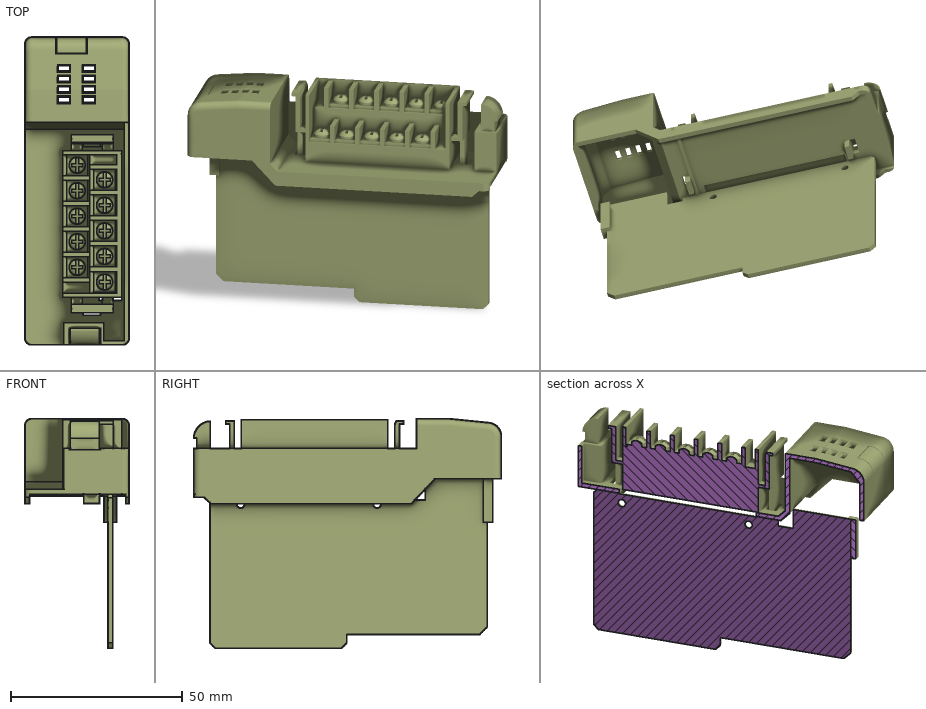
import cadquery as cq
import math


WIDTH = 30.5
LENGTH = 90.0
HEIGHT = 67.1
WALL = 1.4
SKIRT_RIGHT = 1.1
CORNER_RADIUS = 2.1

HEAD_FRONT = 65.2
HEAD_TOP = 20.6
HEAD_BOTTOM = 3.0
HEAD_SLOPE_START = 74.7
HEAD_REAR_TOP = 19.1
HEAD_REAR_RADIUS = 4.1
BEVEL = 2.2

SKIRT_BOTTOM = -4.3
SKIRT_REAR_SLOPE_TOP = 70.6
SKIRT_REAR_SLOPE_END = 63.6
SKIRT_FRONT_SLOPE_END = 5.1
SKIRT_FRONT_SLOPE_TOP = 3.1
LIP_BOTTOM = -2.4

SIDE_WALL = 1.4
FRONT_WALL = 1.2
RAISED_TOP = 11.9

RIB_DEPTH = 0.6
RIB_LENGTH = 0.9

LID_LEFT = 9.0
LID_WIDTH = 9.2
LID_FRONT = 85.05
LID_GROOVE = 0.3

WINDOW_COLUMNS = (11.4, 18.7)
WINDOW_ROWS = 4
WINDOW_REAR = 80.8
WINDOW_PITCH = 3.1
WINDOW_WIDTH = 3.8
WINDOW_LENGTH = 2.3
WINDOW_HOLE_WIDTH = 3.3
WINDOW_HOLE_LENGTH = 1.4
WINDOW_DEPTH = 0.7

BOX_LEFT = 11.4
BOX_WIDTH = 11.7
BOX_LENGTH = 6.6
LATCH_LEFT = 13.3
LATCH_WIDTH = 8.5
LATCH_BACK = 4.95
LATCH_SHANK_FRONT = 0.9
LATCH_NOSE_BOTTOM = 14.9
LATCH_TOP = 19.8
LATCH_ARC_START = 4.05
LATCH_ARC_MIDDLE = (1.5, 18.4)
LATCH_GAP = 0.4

BLOCK_LEFT = 11.2
BLOCK_WIDTH = 17.1
BLOCK_FRONT = 13.95
BLOCK_LENGTH = 42.8
BLOCK_TOP = 20.3
BLOCK_END_WALL = 1.2
BLOCK_BACK_WALL = 1.35
TIER_STEP = 19.0
LOWER_FLOOR = 5.9
UPPER_FLOOR = 14.1
LOWER_DIVIDER_TOP = 11.2
DIVIDER = 1.35
DIVIDER_PITCH = 7.5
UPPER_DIVIDER_FRONT = 22.1
TERMINALS = 5
PLATE_WIDTH = 6.2
PLATE_THICKNESS = 0.8
LOWER_SCREW_X = 15.3
UPPER_SCREW_X = 23.3

SCREW_RADIUS = 2.3
SCREW_RIM = 0.9
SCREW_DOME = 1.35
SCREW_SLOT = 0.9
SCREW_SLOT_DEPTH = 1.2
SCREW_CROSS_LENGTH = 3.2

CLIP_LEFT = 13.6
CLIP_WIDTH = 12.2
CLIP_GAP = 2.0
CLIP_THICKNESS = 1.4
CLIP_BOTTOM = 8.1
CLIP_TOP = 20.0
CLIP_HOOK = 1.2
CLIP_HOOK_HEIGHT = 1.0
CLIP_BEVEL_WIDTH = 0.45
CLIP_BEVEL_HEIGHT = 1.2
ARM_WIDTH = 3.15
ARM_HEIGHT = 1.1
TAB_LEFT = 17.2
TAB_WIDTH = 4.7
TAB_BOTTOM = -4.2

OPENING_SHIFT = 0.9
FLOOR_OPENING_LEFT = 21.7
TAB_SLOT_CLEARANCE = 0.2
TAB_SLOT_LENGTH = 3.2

BOARD_LEFT = 24.3
BOARD_THICKNESS = 1.4
BOARD_FRONT = 4.8
BOARD_REAR = 85.9
BOARD_STEP = 44.8
BOARD_BOTTOM = HEAD_TOP - HEIGHT
BOARD_REAR_BOTTOM = -42.5
BOARD_CHAMFER = 1.6
BOARD_REAR_CHAMFER = 2.25
BOARD_TOP_CHAMFER = 1.1
NOTCH_FRONT = 63.0
NOTCH_REAR = 67.7
NOTCH_BOTTOM = -3.15
BOARD_HOLE_DIAMETER = 2.2
BOARD_HOLE_PLACES = (13.8, 53.6)
BOARD_HOLE_Z = -4.4

CONNECTOR_LEFT = 23.1
CONNECTOR_WIDTH = 3.7
CONNECTOR_FRONT = 84.7
CONNECTOR_LENGTH = 2.8
CONNECTOR_BOTTOM = -9.7


BLOCK_REAR = BLOCK_FRONT + BLOCK_LENGTH
FRONT_CLIP_Y = BLOCK_FRONT - CLIP_GAP - CLIP_THICKNESS
REAR_CLIP_Y = BLOCK_REAR + CLIP_GAP
FRONT_SLOT_Y = FRONT_CLIP_Y + CLIP_THICKNESS - TAB_SLOT_LENGTH
REAR_SLOT_Y = REAR_CLIP_Y - OPENING_SHIFT
FLOOR_BOTTOM = -WALL
PLATE_LENGTH = DIVIDER_PITCH - DIVIDER
LOWER_TERMINAL_REAR = BLOCK_REAR - BLOCK_END_WALL - PLATE_LENGTH / 2
LOWER_TERMINAL_FRONT = LOWER_TERMINAL_REAR - (TERMINALS - 1) * DIVIDER_PITCH
LOWER_DIVIDER_FRONT = LOWER_TERMINAL_FRONT - DIVIDER_PITCH / 2
UPPER_TERMINAL_FRONT = UPPER_DIVIDER_FRONT - DIVIDER_PITCH / 2


def box(x, y, z, dx, dy, dz):
    """Box from its lower left front corner and its sizes."""
    return cq.Workplane("XY").box(dx, dy, dz, centered=False).translate((x, y, z))


def side_profile(x):
    """Workplane for outlines in Y and Z, extruded from x toward +X."""
    return cq.Workplane("YZ", origin=(x, 0, 0))


def roof_height(y):
    """Height of the head's roof at a distance y from the front end."""
    fall = (HEAD_TOP - HEAD_REAR_TOP) / (LENGTH - HEAD_SLOPE_START)
    return HEAD_TOP - fall * max(0, y - HEAD_SLOPE_START)


def housing_outer_solid():
    """Solid between the outer faces, with the rounded head and the sloping lower edge."""
    solid = side_profile(0).polyline([
        (0, LIP_BOTTOM),
        (SKIRT_FRONT_SLOPE_TOP, LIP_BOTTOM),
        (SKIRT_FRONT_SLOPE_END, SKIRT_BOTTOM),
        (SKIRT_REAR_SLOPE_END, SKIRT_BOTTOM),
        (SKIRT_REAR_SLOPE_TOP, HEAD_BOTTOM),
        (LENGTH, HEAD_BOTTOM),
        (LENGTH, HEAD_REAR_TOP),
        (HEAD_SLOPE_START, HEAD_TOP),
        (HEAD_FRONT, HEAD_TOP),
        (HEAD_FRONT, BEVEL),
        (HEAD_FRONT - BEVEL, 0),
        (0, 0),
    ]).close().extrude(WIDTH)
    solid = solid.faces(">Y").edges(">Z").fillet(HEAD_REAR_RADIUS)
    around_head = cq.selectors.BoxSelector(
        (-0.9, HEAD_FRONT + 0.9, HEAD_BOTTOM + 0.9), (WIDTH + 0.9, LENGTH + 0.9, HEAD_TOP + 0.9)
    )
    return solid.faces("<X or >X").edges(around_head).fillet(CORNER_RADIUS)


def add_raised_walls(body):
    """Raised walls along the right side and the front end, with rounded front corners."""
    side_wall = box(WIDTH - SIDE_WALL, 0, FLOOR_BOTTOM, SIDE_WALL, HEAD_FRONT, RAISED_TOP + WALL)
    front_wall = box(BOX_LEFT, 0, FLOOR_BOTTOM, WIDTH - BOX_LEFT, FRONT_WALL, RAISED_TOP + WALL)
    body = body.union(side_wall).union(front_wall)
    front_corners = cq.selectors.BoxSelector((-0.9, -0.9, LIP_BOTTOM - 0.9), (WIDTH + 0.9, 0.1, RAISED_TOP + 0.9))
    corner_edges = body.edges("|Z").edges("<X or >X").edges(front_corners)
    return corner_edges.fillet(CORNER_RADIUS)


def housing_cavity():
    """Space inside the head and under the floor, open at the bottom and at the front."""
    front = -0.9
    bottom = SKIRT_BOTTOM - 0.9
    return side_profile(WALL).polyline([
        (front, FLOOR_BOTTOM),
        (HEAD_FRONT - BEVEL + WALL / 2, FLOOR_BOTTOM),
        (HEAD_FRONT + WALL, BEVEL - WALL / 2),
        (HEAD_FRONT + WALL, HEAD_TOP - WALL),
        (HEAD_SLOPE_START, HEAD_TOP - WALL),
        (LENGTH - HEAD_REAR_RADIUS, roof_height(LENGTH - HEAD_REAR_RADIUS) - WALL),
        (LENGTH - WALL, HEAD_REAR_TOP - HEAD_REAR_RADIUS),
        (LENGTH - WALL, bottom),
        (front, bottom),
    ]).close().extrude(WIDTH - WALL - SKIRT_RIGHT)


def window_cutter(x, y):
    """Hole through the roof, widened by a funnel at the surface."""
    surface = roof_height(y)
    funnel_bottom = surface - WINDOW_DEPTH
    mouth = box(
        x - WINDOW_WIDTH / 2, y - WINDOW_LENGTH / 2, surface, WINDOW_WIDTH, WINDOW_LENGTH, WINDOW_DEPTH
    )
    funnel = (
        cq.Workplane("XY", origin=(x, y, funnel_bottom))
        .rect(WINDOW_HOLE_WIDTH, WINDOW_HOLE_LENGTH)
        .workplane(offset=WINDOW_DEPTH)
        .rect(WINDOW_WIDTH, WINDOW_LENGTH)
        .loft(ruled=True)
    )
    hole_bottom = surface - 2 * WALL
    hole = box(
        x - WINDOW_HOLE_WIDTH / 2, y - WINDOW_HOLE_LENGTH / 2, hole_bottom,
        WINDOW_HOLE_WIDTH, WINDOW_HOLE_LENGTH, funnel_bottom - hole_bottom,
    )
    return mouth.union(funnel).union(hole)


def status_windows():
    """Windows in two columns on the roof of the head."""
    cutters = cq.Workplane("XY")
    for x in WINDOW_COLUMNS:
        for row in range(WINDOW_ROWS):
            cutters = cutters.add(window_cutter(x, WINDOW_REAR - row * WINDOW_PITCH))
    return cutters.combine()


def cut_lid_groove(body):
    """Shallow U-shaped groove around a flush lid on the rounded rear edge of the head."""
    zone = box(
        LID_LEFT, LID_FRONT, HEAD_BOTTOM, LID_WIDTH, LENGTH - LID_FRONT, HEAD_TOP - HEAD_BOTTOM
    )
    lid = box(
        LID_LEFT + LID_GROOVE, LID_FRONT + LID_GROOVE, HEAD_BOTTOM,
        LID_WIDTH - 2 * LID_GROOVE, LENGTH - LID_FRONT, HEAD_TOP - HEAD_BOTTOM,
    )
    below_groove = body.translate((0, -LID_GROOVE, -LID_GROOVE))
    return body.cut(zone.cut(lid).cut(below_groove))


def latch_box():
    return box(BOX_LEFT, 0, FLOOR_BOTTOM, BOX_WIDTH, BOX_LENGTH, RAISED_TOP + WALL)


def latch_recess():
    return box(
        LATCH_LEFT - LATCH_GAP, 0, RAISED_TOP - LATCH_GAP,
        LATCH_WIDTH + 2 * LATCH_GAP, LATCH_BACK, 2 * LATCH_GAP,
    )


def latch():
    """Snap latch with a rounded nose that overhangs its shank."""
    foot = RAISED_TOP - 2 * LATCH_GAP
    return (
        side_profile(LATCH_LEFT)
        .moveTo(LATCH_BACK, foot)
        .lineTo(LATCH_BACK, LATCH_TOP)
        .lineTo(LATCH_ARC_START, LATCH_TOP)
        .threePointArc(LATCH_ARC_MIDDLE, (0, LATCH_NOSE_BOTTOM))
        .lineTo(LATCH_SHANK_FRONT, LATCH_NOSE_BOTTOM)
        .lineTo(LATCH_SHANK_FRONT, foot)
        .close()
        .extrude(LATCH_WIDTH)
    )


def floor_rib():
    """Crosswise rib that stands against the tab of the rear clip."""
    return box(
        WALL, REAR_CLIP_Y - RIB_LENGTH, FLOOR_BOTTOM - RIB_DEPTH,
        WIDTH - WALL - SKIRT_RIGHT, RIB_LENGTH, RIB_DEPTH,
    )


def floor_openings():
    """Opening under the block and a slot for each clip tab."""
    openings = box(
        FLOOR_OPENING_LEFT, BLOCK_FRONT - OPENING_SHIFT, FLOOR_BOTTOM,
        BLOCK_LEFT + BLOCK_WIDTH - FLOOR_OPENING_LEFT, BLOCK_LENGTH, WALL,
    )
    for y in (FRONT_SLOT_Y, REAR_SLOT_Y):
        slot = box(
            TAB_LEFT - TAB_SLOT_CLEARANCE, y, FLOOR_BOTTOM,
            TAB_WIDTH + 2 * TAB_SLOT_CLEARANCE, TAB_SLOT_LENGTH, WALL,
        )
        openings = openings.union(slot)
    return openings


def housing():
    body = cut_lid_groove(housing_outer_solid())
    body = add_raised_walls(body)
    body = body.union(latch_box()).cut(latch_recess()).union(latch())
    body = body.cut(housing_cavity()).cut(status_windows())
    return body.cut(floor_openings()).union(floor_rib())


def screw(x, y, seat):
    """Domed screw head with a cross slot, standing on its seat."""
    rim_top = seat + SCREW_RIM
    top = rim_top + SCREW_DOME
    dome_radius = (SCREW_RADIUS**2 + SCREW_DOME**2) / (2 * SCREW_DOME)
    half_angle = math.asin(SCREW_RADIUS / dome_radius) / 2
    dome_middle = (dome_radius * math.sin(half_angle), top - dome_radius * (1 - math.cos(half_angle)))
    head = (
        cq.Workplane("XZ")
        .moveTo(0, seat)
        .lineTo(SCREW_RADIUS, seat)
        .lineTo(SCREW_RADIUS, rim_top)
        .threePointArc(dome_middle, (0, top))
        .close()
        .revolve(360, (0, 0, 0), (0, 1, 0))
    )
    slot_centre = (0, 0, top)
    long_slot = cq.Workplane("XY", origin=slot_centre).box(
        SCREW_SLOT, 2 * SCREW_RADIUS, 2 * SCREW_SLOT_DEPTH
    )
    cross_slot = cq.Workplane("XY", origin=slot_centre).box(
        SCREW_CROSS_LENGTH, SCREW_SLOT, 2 * SCREW_SLOT_DEPTH
    )
    return head.cut(long_slot).cut(cross_slot).translate((x, y, 0))


def dividers(left, right, bottom, top, front_divider):
    walls = cq.Workplane("XY")
    for number in range(TERMINALS):
        y = front_divider + number * DIVIDER_PITCH
        walls = walls.add(box(left, y - DIVIDER / 2, bottom, right - left, DIVIDER, top - bottom))
    return walls.combine()


def terminals(x, tier_floor, first_y):
    """A row of contact plates, each with its screw."""
    row = cq.Workplane("XY")
    for number in range(TERMINALS):
        y = first_y + number * DIVIDER_PITCH
        plate = box(
            x - PLATE_WIDTH / 2, y - PLATE_LENGTH / 2, tier_floor,
            PLATE_WIDTH, PLATE_LENGTH, PLATE_THICKNESS,
        )
        row = row.add(plate.union(screw(x, y, tier_floor + PLATE_THICKNESS)))
    return row.combine()


def block_base():
    """Two-tier block with a wall at each end and along the back."""
    block_right = BLOCK_LEFT + BLOCK_WIDTH
    bay_length = BLOCK_LENGTH - 2 * BLOCK_END_WALL
    bay_front = BLOCK_FRONT + BLOCK_END_WALL
    base = box(BLOCK_LEFT, BLOCK_FRONT, 0, BLOCK_WIDTH, BLOCK_LENGTH, BLOCK_TOP)
    lower_bay = box(
        BLOCK_LEFT, bay_front, LOWER_FLOOR, TIER_STEP - BLOCK_LEFT, bay_length, BLOCK_TOP - LOWER_FLOOR
    )
    upper_bay = box(
        TIER_STEP, bay_front, UPPER_FLOOR,
        block_right - BLOCK_BACK_WALL - TIER_STEP, bay_length, BLOCK_TOP - UPPER_FLOOR,
    )
    return base.cut(lower_bay).cut(upper_bay)


def front_clip():
    """Hooked plate on two arms, with a tab that reaches down through the floor."""
    plate = side_profile(CLIP_LEFT).polyline([
        (FRONT_CLIP_Y, CLIP_BOTTOM),
        (FRONT_CLIP_Y + CLIP_THICKNESS, CLIP_BOTTOM),
        (FRONT_CLIP_Y + CLIP_THICKNESS, CLIP_TOP),
        (FRONT_CLIP_Y - CLIP_HOOK, CLIP_TOP),
        (FRONT_CLIP_Y - CLIP_HOOK, CLIP_TOP - CLIP_HOOK_HEIGHT),
        (FRONT_CLIP_Y, CLIP_TOP - CLIP_HOOK_HEIGHT),
    ]).close().extrude(CLIP_WIDTH)
    tab = box(TAB_LEFT, FRONT_CLIP_Y, TAB_BOTTOM, TAB_WIDTH, CLIP_THICKNESS, CLIP_BOTTOM - TAB_BOTTOM)
    clip = plate.union(tab)
    for arm_left in (CLIP_LEFT, CLIP_LEFT + CLIP_WIDTH - ARM_WIDTH):
        arm = box(arm_left, BLOCK_FRONT - CLIP_GAP, CLIP_BOTTOM, ARM_WIDTH, CLIP_GAP, ARM_HEIGHT)
        clip = clip.union(arm)
    return clip


def rear_clip():
    """Mirror image of the front clip, with its upper edge bevelled toward the block."""
    block_middle = BLOCK_FRONT + BLOCK_LENGTH / 2
    clip = front_clip().mirror("XZ", (0, block_middle, 0))
    bevel = side_profile(CLIP_LEFT).polyline([
        (REAR_CLIP_Y, CLIP_TOP),
        (REAR_CLIP_Y + CLIP_BEVEL_WIDTH, CLIP_TOP),
        (REAR_CLIP_Y, CLIP_TOP - CLIP_BEVEL_HEIGHT),
    ]).close().extrude(CLIP_WIDTH)
    return clip.cut(bevel)


def terminal_block():
    block_right = BLOCK_LEFT + BLOCK_WIDTH
    lower_dividers = dividers(
        BLOCK_LEFT, TIER_STEP, LOWER_FLOOR, LOWER_DIVIDER_TOP, LOWER_DIVIDER_FRONT
    )
    upper_dividers = dividers(
        TIER_STEP, block_right - BLOCK_BACK_WALL, UPPER_FLOOR, BLOCK_TOP, UPPER_DIVIDER_FRONT
    )
    lower_terminals = terminals(LOWER_SCREW_X, LOWER_FLOOR, LOWER_TERMINAL_FRONT)
    upper_terminals = terminals(UPPER_SCREW_X, UPPER_FLOOR, UPPER_TERMINAL_FRONT)
    block = block_base().union(lower_dividers).union(upper_dividers)
    block = block.union(lower_terminals).union(upper_terminals)
    return block.union(front_clip()).union(rear_clip())


def circuit_board():
    board = side_profile(BOARD_LEFT).polyline([
        (BOARD_FRONT, FLOOR_BOTTOM - BOARD_TOP_CHAMFER),
        (BOARD_FRONT + BOARD_TOP_CHAMFER, FLOOR_BOTTOM),
        (NOTCH_FRONT, FLOOR_BOTTOM),
        (NOTCH_FRONT, NOTCH_BOTTOM),
        (NOTCH_REAR, NOTCH_BOTTOM),
        (NOTCH_REAR, HEAD_BOTTOM),
        (BOARD_REAR, HEAD_BOTTOM),
        (BOARD_REAR, BOARD_REAR_BOTTOM + BOARD_REAR_CHAMFER),
        (BOARD_REAR - BOARD_REAR_CHAMFER, BOARD_REAR_BOTTOM),
        (BOARD_STEP, BOARD_REAR_BOTTOM),
        (BOARD_STEP, BOARD_BOTTOM + BOARD_CHAMFER),
        (BOARD_STEP - BOARD_CHAMFER, BOARD_BOTTOM),
        (BOARD_FRONT + BOARD_CHAMFER, BOARD_BOTTOM),
        (BOARD_FRONT, BOARD_BOTTOM + BOARD_CHAMFER),
    ]).close().extrude(BOARD_THICKNESS)
    hole_places = [(y, BOARD_HOLE_Z) for y in BOARD_HOLE_PLACES]
    hole_circles = side_profile(BOARD_LEFT).pushPoints(hole_places).circle(BOARD_HOLE_DIAMETER / 2)
    holes = hole_circles.extrude(BOARD_THICKNESS)
    return board.cut(holes)


def connector():
    """Upright bar that straddles the rear edge of the board."""
    return box(
        CONNECTOR_LEFT, CONNECTOR_FRONT, CONNECTOR_BOTTOM,
        CONNECTOR_WIDTH, CONNECTOR_LENGTH, HEAD_BOTTOM - CONNECTOR_BOTTOM,
    )


board_body = circuit_board()
housing_body = housing().cut(board_body)
connector_body = connector().cut(board_body)
block_body = terminal_block()

result = cq.Compound.makeCompound([
    housing_body.val(),
    block_body.val(),
    board_body.val(),
    connector_body.val(),
])